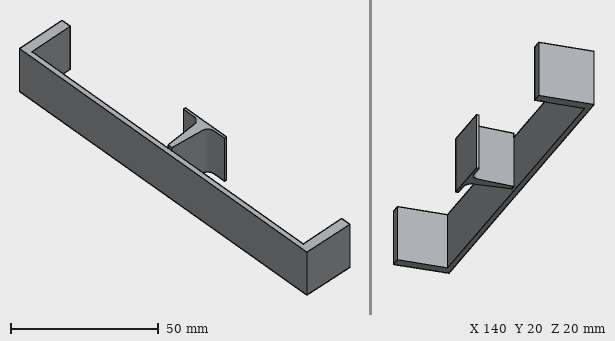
import cadquery as cq

length = 140.0
depth = 20.0
height = 20.0

front_wall = 2.0
leg_thickness = 4.0
right_side_draft = 0.3

flange_width = 20.0
flange_thickness = 1.0
tee_depth = 17.0
stem_tip_width = 2.0
stem_root_width = 4.5
root_fillet = 3.0


def make_channel():
    """U-shaped channel, open to the rear, with a slightly drafted right side."""
    half_length = length / 2
    inner_half = half_length - leg_thickness
    outline = [
        (-half_length, 0),
        (half_length - right_side_draft, 0),
        (half_length, depth),
        (inner_half, depth),
        (inner_half, front_wall),
        (-inner_half, front_wall),
        (-inner_half, depth),
        (-half_length, depth),
    ]
    return cq.Workplane("XY").polyline(outline).close().extrude(height)


def make_tee():
    """T-shaped bar, flush with the rear of the channel legs."""
    half_flange = flange_width / 2
    half_root = stem_root_width / 2
    half_tip = stem_tip_width / 2
    flange_front = depth - flange_thickness
    tip_y = depth - tee_depth
    outline = [
        (-half_flange, depth),
        (half_flange, depth),
        (half_flange, flange_front),
        (half_root, flange_front),
        (half_tip, tip_y),
        (-half_tip, tip_y),
        (-half_root, flange_front),
        (-half_flange, flange_front),
    ]
    tee = cq.Workplane("XY").polyline(outline).close().extrude(height)

    for side in (-1, 1):
        corner = (side * half_root, flange_front, height / 2)
        tee = tee.edges(cq.selectors.NearestToPointSelector(corner)).fillet(root_fillet)
    return tee


channel = make_channel()
tee = make_tee()
result = cq.Compound.makeCompound([channel.val(), tee.val()])